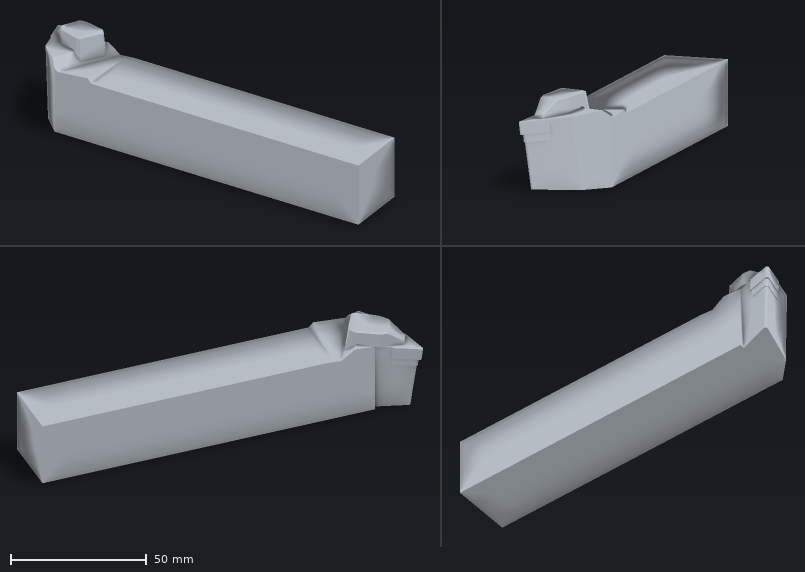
import cadquery as cq
import math


TOOL_LENGTH = 149.6
SHANK = 25.0
SHANK_START = 17.2
RAMP_FOOT_X = 33.4
STOCK_HEIGHT = 32.9

TIP_Y = 30.5
TIP_Z = 25.6
SEAT_TILT = 7.0

INSERT_ANGLE = 55.0
INSERT_EDGE = 11.7
INSERT_THICKNESS = 4.8
INSERT_RADIUS = 0.7

SHIM_THICKNESS = 3.1
SHIM_INSET = 0.37
SHIM_RADIUS = 1.0

HEAD_END = RAMP_FOOT_X - (STOCK_HEIGHT - SHANK)
HEAD_INSET = 0.07
HEAD_TAPER = 3.8
HEAD_TIP_RADIUS = 0.9
FLANK_BLEND_RADIUS = 5.2
BLEND_EDGE_BOX = ((4.5, 6, 12), (10.5, 13.5, 21))

CLAMP_ANGLE = 25.0
RIDGE = 12.3
VALLEY = 16.8
STEP_DEPTH = 4.2
CLAMP_HEIGHT = 6.3
NOSE_START = -5.5
NOSE_HEIGHT = 1.8
NOSE_END = 1.0
CLAMP_EDGE_CHAMFER = 0.52
CLAMP_CORNER_RADIUS = 1.8
CLAMP_SIDE_RADIUS = 9.0
REAR_EDGE = 15.5
REAR_BEVEL_LENGTH = 1.6
REAR_BEVEL_DROP = 0.9
RELIEF_END = 11.8
RELIEF_HEIGHT = 0.9
FOOT_START = 13.2
CLAMP_DRAFT = 4.0
CLAMP_OUTLINE = [
    (3.9, 22.3),
    (5.7, 26.3),
    (15.9, 26.3),
    (25.0, 22.9),
    (27.2, 20.3),
    (22.1, 10.0),
    (20.0, 10.0),
    (11.5, 13.9),
]
NOSE_MIDDLE = (7.8, 22.6, TIP_Z + (NOSE_HEIGHT + CLAMP_HEIGHT) / 2)
REAR_CORNER = 4
SIDE_CORNER = 7

FAR = 89.7

AXIS_TURN = math.radians(CLAMP_ANGLE)
ACROSS_AXIS = cq.Vector(math.sin(AXIS_TURN), math.cos(AXIS_TURN), 0)

HALF_ANGLE = math.radians(INSERT_ANGLE / 2)
CORNER_SHIFT = INSERT_RADIUS * (math.sin(math.pi / 4) / math.sin(HALF_ANGLE) - 1)
SHARP_CORNER = (-CORNER_SHIFT, TIP_Y + CORNER_SHIFT)


def tilt(body):
    """Tip a level body into the insert seat, about the insert's tip."""
    return body.rotate((0, TIP_Y, TIP_Z), (1.5, TIP_Y + 1.5, TIP_Z), -SEAT_TILT)


def rhombus(edge, inset):
    """Corner points of the insert's rhombus, moved inward by an inset."""
    shift = inset / math.sin(HALF_ANGLE) * math.sin(math.pi / 4)
    x0 = SHARP_CORNER[0] + shift
    y0 = SHARP_CORNER[1] - shift
    lean = math.pi / 4 - HALF_ANGLE
    along = edge * math.cos(lean)
    across = edge * math.sin(lean)
    return [
        (x0, y0),
        (x0 + along, y0 - across),
        (x0 + along + across, y0 - along - across),
        (x0 + across, y0 - along),
    ]


def rhombic_plate(edge, inset, radius, top, thickness):
    """A rhombic plate in the seat, its top given from the seat level."""
    plate = (
        cq.Workplane("XY", origin=(0, 0, TIP_Z + top - thickness))
        .polyline(rhombus(edge, inset))
        .close()
        .extrude(thickness)
        .edges("|Z")
        .fillet(radius)
    )
    return tilt(plate)


def axis_prism(profile):
    """A wide prism across the clamp axis, from (along axis, height) points."""
    return (
        cq.Workplane("XZ")
        .polyline(profile)
        .close()
        .extrude(FAR, both=True)
        .rotate((0, 0, 0), (0, 0, 1), -CLAMP_ANGLE)
        .translate((0, 0, TIP_Z))
    )


def slope_point(along):
    """Point on the slope between the seat and the lower level."""
    return along, -STEP_DEPTH * (along - RIDGE) / (VALLEY - RIDGE)


def round_upright_edge(body, corner, radius):
    """Fillet the upright edge at one numbered corner of the clamp outline."""
    nearest = cq.selectors.NearestToPointSelector((*CLAMP_OUTLINE[corner], TIP_Z))
    return body.edges(nearest).fillet(radius)


def make_insert():
    return rhombic_plate(INSERT_EDGE, 0, INSERT_RADIUS, 0, INSERT_THICKNESS)


def make_shim():
    edge = INSERT_EDGE - 2 * SHIM_INSET / math.sin(2 * HALF_ANGLE)
    return rhombic_plate(edge, SHIM_INSET, SHIM_RADIUS, -INSERT_THICKNESS, SHIM_THICKNESS)


def make_head():
    """Head blank: two leaning flanks meeting below the insert tip."""
    wedge = (
        cq.Workplane("XY", origin=(0, 0, STOCK_HEIGHT))
        .polyline(rhombus(FAR, HEAD_INSET))
        .close()
        .extrude(-STOCK_HEIGHT, taper=HEAD_TAPER)
        .edges(cq.selectors.NearestToPointSelector((0, TIP_Y, STOCK_HEIGHT / 2)))
        .fillet(HEAD_TIP_RADIUS)
    )
    corner_limit = (
        cq.Workplane("XY")
        .moveTo(SHANK_START, 0)
        .lineTo(HEAD_END, 0)
        .lineTo(HEAD_END, FAR)
        .lineTo(SHANK_START - FAR, FAR)
        .close()
        .extrude(STOCK_HEIGHT)
    )
    blend_edge = cq.selectors.BoxSelector(*BLEND_EDGE_BOX)
    return wedge.intersect(corner_limit).edges(blend_edge).fillet(FLANK_BLEND_RADIUS)


def make_shank():
    """Shank with the 45-degree ramp up to head height, before the top cut."""
    return (
        cq.Workplane("XZ")
        .moveTo(SHANK_START, 0)
        .lineTo(TOOL_LENGTH, 0)
        .lineTo(TOOL_LENGTH, SHANK)
        .lineTo(RAMP_FOOT_X, SHANK)
        .lineTo(HEAD_END, STOCK_HEIGHT)
        .lineTo(SHANK_START, STOCK_HEIGHT)
        .close()
        .extrude(-SHANK)
    )


def make_top_cut():
    """Material above the seat level, the slope and the lower level."""
    return tilt(axis_prism([
        (-FAR, 0),
        (RIDGE, 0),
        (VALLEY, -STEP_DEPTH),
        (FAR, -STEP_DEPTH),
        (FAR, FAR),
        (-FAR, FAR),
    ]))


def make_nose_cut():
    """Material above the sloping nose, its slope carried past the clamp's end."""
    run = NOSE_END - NOSE_START
    fall = CLAMP_HEIGHT - NOSE_HEIGHT
    return axis_prism([
        (NOSE_END, CLAMP_HEIGHT),
        (NOSE_END, FAR),
        (NOSE_START - run, FAR),
        (NOSE_START - run, NOSE_HEIGHT - fall),
    ])


def make_rear_bevel_cut():
    """Material above the shallow bevel along the clamp's rear edge."""
    bevel_start = REAR_EDGE - REAR_BEVEL_LENGTH
    bevel_height = CLAMP_HEIGHT - REAR_BEVEL_DROP
    return axis_prism([
        (bevel_start, CLAMP_HEIGHT),
        (REAR_EDGE, bevel_height),
        (FAR, bevel_height),
        (FAR, FAR),
        (bevel_start, FAR),
    ])


def make_underside_cut():
    """Material below the clamp: flat on the insert, then a gap, then the foot."""
    return axis_prism([
        (-FAR, 0),
        (0, 0),
        (RELIEF_END, RELIEF_HEIGHT),
        slope_point(FOOT_START),
        (VALLEY, -STEP_DEPTH),
        (VALLEY, -FAR),
        (-FAR, -FAR),
    ])


def make_clamp():
    """Clamp bridging from the insert to the slope behind the seat."""
    clamp = (
        cq.Workplane("XY", origin=(0, 0, TIP_Z - STEP_DEPTH))
        .polyline(CLAMP_OUTLINE)
        .close()
        .extrude(STEP_DEPTH + CLAMP_HEIGHT, taper=CLAMP_DRAFT)
    )
    clamp = round_upright_edge(clamp, REAR_CORNER, CLAMP_CORNER_RADIUS)
    clamp = round_upright_edge(clamp, SIDE_CORNER, CLAMP_SIDE_RADIUS)
    clamp = clamp.cut(make_nose_cut())

    crease = cq.selectors.ParallelDirSelector(ACROSS_AXIS)
    sloped_nose = cq.selectors.NearestToPointSelector(NOSE_MIDDLE)
    rim = clamp.faces(">Z").add(clamp.faces(sloped_nose)).edges()
    clamp = rim.edges(cq.selectors.InverseSelector(crease)).chamfer(CLAMP_EDGE_CHAMFER)

    return tilt(clamp.cut(make_rear_bevel_cut()).cut(make_underside_cut()))


def make_holder(insert_body):
    """Shank, head, shim and clamp in one, with a pocket that fits the insert."""
    shim = make_shim()
    blank = make_head().union(make_shank()).cut(make_top_cut())
    return blank.union(shim).union(make_clamp()).cut(insert_body)


insert = make_insert()
holder = make_holder(insert)
result = cq.Compound.makeCompound([holder.solids().val(), insert.solids().val()])